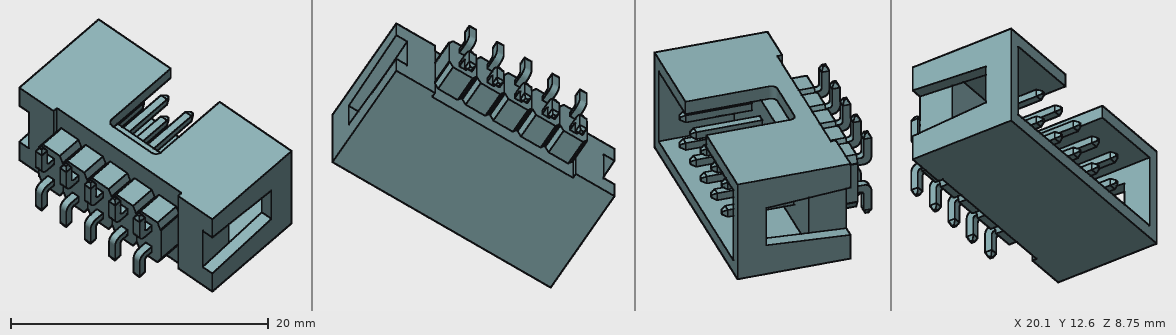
import cadquery as cq
import math

COLUMNS = 5
STRIP_LENGTH = 12.7
PITCH = STRIP_LENGTH / COLUMNS
column_places = [(column - (COLUMNS - 1) / 2) * PITCH for column in range(COLUMNS)]
row_z = PITCH / 2
ROW_SIDES = (-1, 1)

LENGTH = 20.07
HEIGHT = 8.75
DEPTH = 9.27
END_WALL = 1.0
SIDE_WALL = 1.15
FLOOR = 3.07
RECESS_WIDTH = 12.95
RECESS_DEPTH = 0.4

KEY_WIDTH = 5.08
KEY_DEPTH = 7.37
KEY_CORNER = 0.5

WINDOW_DEPTH = 6.9
WINDOW_OUTER_HEIGHT = 4.35
WINDOW_INNER_HEIGHT = 3.43

BLOCK_HEIGHT = 4.82
BLOCK_DEPTH = 2.19
BLOCK_GAP = 0.06
BLOCK_LEDGE = 0.07
BLOCK_CORNER_X = 0.3
BLOCK_CORNER_Z = 0.65

PIN = 0.65
PIN_TIP_LENGTH = 0.4
PIN_TIP_WIDTH = 0.26
PIN_TIP_GAP = 0.38
TOTAL_DEPTH = 12.56
TAIL_SPAN = 7.37
BEND_OUTER = 0.62
BEND_INNER = 0.25

block_start_y = RECESS_DEPTH - BLOCK_GAP
block_end_y = block_start_y - BLOCK_DEPTH
tail_end_y = DEPTH - TOTAL_DEPTH
mate_y = DEPTH - PIN_TIP_GAP - PIN_TIP_LENGTH


def box(x_size, y_from, y_to, z_from, z_to, x_center=0.0):
    """A box centred on x_center, spanning the given Y and Z ranges."""
    return (
        cq.Workplane("XY")
        .box(x_size, y_to - y_from, z_to - z_from, centered=(True, False, False))
        .translate((x_center, y_from, z_from))
    )


def pin_hole(x, side, y_from, y_to):
    z = side * row_z
    return box(PIN, y_from, y_to, z - PIN / 2, z + PIN / 2, x)


def make_window(side):
    """Opening in an end wall that narrows from the -Y face inwards."""
    return (
        cq.Workplane("YZ")
        .polyline([
            (0, -WINDOW_OUTER_HEIGHT / 2),
            (WINDOW_DEPTH, -WINDOW_INNER_HEIGHT / 2),
            (WINDOW_DEPTH, WINDOW_INNER_HEIGHT / 2),
            (0, WINDOW_OUTER_HEIGHT / 2),
        ])
        .close()
        .extrude(END_WALL / 2, both=True)
        .translate((side * (LENGTH - END_WALL) / 2, 0, 0))
    )


def make_shroud():
    half_height = HEIGHT / 2
    cavity_z = half_height - SIDE_WALL
    shroud = box(LENGTH, 0, DEPTH, -half_height, half_height)
    shroud = shroud.cut(box(LENGTH - 2 * END_WALL, FLOOR, DEPTH, -cavity_z, cavity_z))
    shroud = shroud.cut(box(RECESS_WIDTH, 0, RECESS_DEPTH, -half_height, half_height))
    key_slot = box(KEY_WIDTH, DEPTH - KEY_DEPTH, DEPTH, cavity_z, half_height)
    shroud = shroud.cut(key_slot.edges("|Z and <Y").fillet(KEY_CORNER))
    for side in (-1, 1):
        shroud = shroud.cut(make_window(side))
    for x in column_places:
        for side in ROW_SIDES:
            shroud = shroud.cut(pin_hole(x, side, RECESS_DEPTH, FLOOR))
    return shroud


def make_block(x):
    """Eight-sided block with a small ledge where it meets its neighbours."""
    half_x = PITCH / 2
    half_z = BLOCK_HEIGHT / 2
    neck_x = half_x - BLOCK_LEDGE
    flat_x = neck_x - BLOCK_CORNER_X
    flat_z = half_z - BLOCK_CORNER_Z
    return (
        cq.Workplane("XZ", origin=(x, block_start_y, 0))
        .polyline([
            (-half_x, -flat_z), (-neck_x, -flat_z), (-flat_x, -half_z),
            (flat_x, -half_z), (neck_x, -flat_z), (half_x, -flat_z),
            (half_x, flat_z), (neck_x, flat_z), (flat_x, half_z),
            (-flat_x, half_z), (-neck_x, flat_z), (-half_x, flat_z),
        ])
        .close()
        .extrude(BLOCK_DEPTH)
    )


def pin_tip(plane):
    tip_angle = math.degrees(math.atan2((PIN - PIN_TIP_WIDTH) / 2, PIN_TIP_LENGTH))
    return plane.rect(PIN, PIN).extrude(PIN_TIP_LENGTH, taper=tip_angle)


def make_pin(x, side):
    """Straight mating end along +Y, and a tail bent away from the middle in Z."""
    inner_z = row_z - PIN / 2
    outer_z = row_z + PIN / 2
    tail_z = TAIL_SPAN / 2 - PIN_TIP_LENGTH
    bar = box(PIN, tail_end_y, mate_y, inner_z, outer_z)
    tail = box(PIN, tail_end_y, tail_end_y + PIN, inner_z, tail_z)
    outer_bend = cq.selectors.NearestToPointSelector((0, tail_end_y, inner_z))
    inner_bend = cq.selectors.NearestToPointSelector((0, tail_end_y + PIN, outer_z))
    pin = bar.union(tail)
    pin = pin.edges(outer_bend).fillet(BEND_OUTER)
    pin = pin.edges(inner_bend).fillet(BEND_INNER)
    mate_plane = cq.Plane((0, mate_y, row_z), (1, 0, 0), (0, 1, 0))
    pin = pin.union(pin_tip(cq.Workplane(mate_plane)))
    pin = pin.union(pin_tip(cq.Workplane("XY", origin=(0, tail_end_y + PIN / 2, tail_z))))
    if side < 0:
        pin = pin.mirror("XY")
    return pin.translate((x, 0, 0))


def make_contact_module(x):
    """One column: an insulator block carrying its two pins."""
    module = make_block(x)
    for side in ROW_SIDES:
        module = module.union(make_pin(x, side))
    return module


shroud = make_shroud()
contact_modules = [make_contact_module(x) for x in column_places]

result = cq.Compound.makeCompound([shroud.val(), *[module.val() for module in contact_modules]])